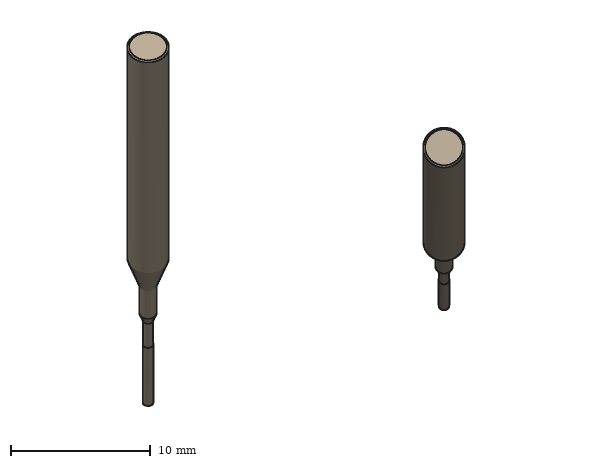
import cadquery as cq

total_length = 37.5

shank_diameter = 3.0
neck_diameter = 1.28
stem_diameter = 0.75
cutting_diameter = 0.8

shank_chamfer_width = 0.15
shank_chamfer_height = 0.08

point_height = 0.3
cutting_top = 6.38
lower_taper_bottom = 8.9
lower_taper_top = 9.68
upper_taper_bottom = 12.6
upper_taper_top = 15.4


def turned_body(profile):
    """Revolve a closed (radius, height) profile around the Z axis."""
    return cq.Workplane("XZ").polyline(profile).close().revolve(360, (0, 0), (0, 1))


def make_holder():
    """Shank, tapered down through the neck to the thin stem."""
    shank_radius = shank_diameter / 2
    neck_radius = neck_diameter / 2
    stem_radius = stem_diameter / 2
    return turned_body([
        (0, cutting_top),
        (stem_radius, cutting_top),
        (stem_radius, lower_taper_bottom),
        (neck_radius, lower_taper_top),
        (neck_radius, upper_taper_bottom),
        (shank_radius, upper_taper_top),
        (shank_radius, total_length - shank_chamfer_height),
        (shank_radius - shank_chamfer_width, total_length),
        (0, total_length),
    ])


def make_cutting_end():
    """Cylindrical cutting length with a conical point, butted against the stem."""
    cutting_radius = cutting_diameter / 2
    return turned_body([
        (0, 0),
        (cutting_radius, point_height),
        (cutting_radius, cutting_top),
        (0, cutting_top),
    ])


holder = make_holder()
cutting_end = make_cutting_end()

result = cq.Compound.makeCompound([holder.val(), cutting_end.val()])